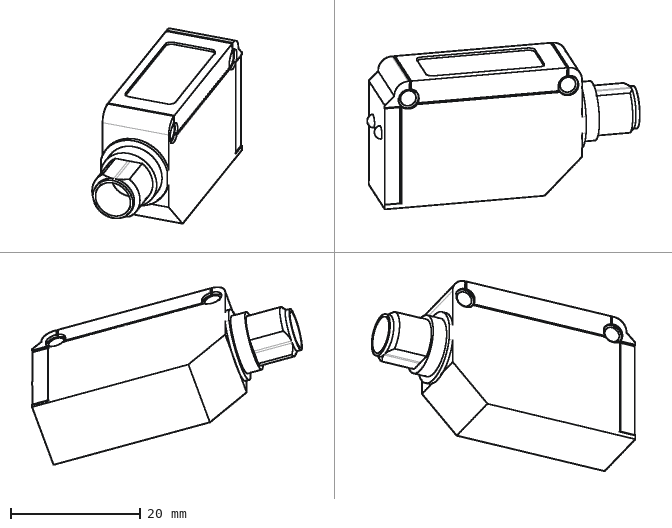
import cadquery as cq
import math

width = 11.0
height = 21.0
body_length = 31.4
corner_radius = 2.2
notch_length = 1.5
notch_rise = 1.45
notch_wall = 0.1
front_slope = 5.97

hole_diameter = 2.5
hole_recess_diameter = 3.25
hole_recess_depth = 0.4
hole_drop = 3.0
front_hole_y = 2.2
rear_hole_y = body_length - 3.83

slot_width = 0.25
slot_depth = 0.65
front_slot_y = 2.25
rear_slot_y = body_length - 4.08
slot_side_depth = 0.13
seam_depth = 0.25
seam_width = 0.2
lid_seam_z = height - 3.85

label_width = 8.25
label_length = 18.85
label_rear_margin = 7.1
label_corner_radius = 1.0
label_depth = 0.38

window_length = 2.7
window_bottom = 0.75
window_top = 16.9
window_recess = 0.15
window_gap_depth = 0.4

connector_z = 11.25
flange_diameter = 11.35
flange_length = 0.65
collar_diameter = 9.3
collar_length = 2.3
barrel_diameter = 8.0
core_diameter = 6.65
tip_length = 0.65
bore_diameter = 5.8
core_strip_width = 0.38

dome_radius = 1.05
dome_height = 0.93
dome_offset = 2.5
dome_z = 11.7

overall_length = 42.05
barrel_length = overall_length - dome_height - body_length - flange_length - collar_length
side_x = width / 2


def box(size_x, size_y, size_z, center):
    return cq.Workplane("XY").box(size_x, size_y, size_z).translate(center)


def cylinder_y(diameter, start_y, length):
    """Cylinder on the connector axis, running from start_y toward -Y."""
    plane = cq.Workplane("XZ", origin=(0, start_y, connector_z))
    return plane.circle(diameter / 2).extrude(length)


def make_housing():
    arc_offset = corner_radius * math.sqrt(0.5)
    arc_z = height - corner_radius
    rear_arc_y = body_length - notch_length - corner_radius
    outline = (
        cq.Workplane("YZ", origin=(-side_x, 0, 0))
        .moveTo(front_slope, 0)
        .lineTo(body_length, 0)
        .lineTo(body_length, arc_z - notch_wall - notch_rise)
        .lineTo(body_length - notch_length, arc_z - notch_wall)
        .lineTo(body_length - notch_length, arc_z)
        .threePointArc((rear_arc_y + arc_offset, arc_z + arc_offset), (rear_arc_y, height))
        .lineTo(corner_radius, height)
        .threePointArc((corner_radius - arc_offset, arc_z + arc_offset), (0, arc_z))
        .lineTo(0, front_slope)
        .close()
    )
    return outline.extrude(width)


def cut_label(body):
    center_y = body_length - label_rear_margin - label_length / 2
    label = box(label_width, label_length, 2 * label_depth, (0, center_y, height))
    return body.cut(label.edges("|Z").fillet(label_corner_radius))


def cut_side_pockets(body, depth, length, tall, center_y, center_z):
    """Cut the same rectangular pocket into both side faces."""
    for x in (-side_x, side_x):
        body = body.cut(box(2 * depth, length, tall, (x, center_y, center_z)))
    return body


def cut_lid_seams(body):
    slot_z = height - hole_drop / 2
    for slot_y in (front_slot_y, rear_slot_y):
        body = body.cut(box(width, slot_width, 2 * slot_depth, (0, slot_y, height)))
        body = cut_side_pockets(body, slot_side_depth, slot_width, hole_drop, slot_y, slot_z)
    seam_length = rear_hole_y - front_hole_y
    seam_y = (rear_hole_y + front_hole_y) / 2
    return cut_side_pockets(body, seam_depth, seam_length, seam_width, seam_y, lid_seam_z)


def cut_window_recesses(body):
    tall = window_top - window_bottom
    center_y = body_length - window_length / 2
    center_z = (window_top + window_bottom) / 2
    body = cut_side_pockets(body, window_recess, window_length, tall, center_y, center_z)
    gap_y = body_length - window_length + seam_width / 2
    body = cut_side_pockets(body, window_gap_depth, seam_width, tall, gap_y, center_z)
    gap_z = window_top - seam_width / 2
    return cut_side_pockets(body, window_gap_depth, window_length, seam_width, center_y, gap_z)


def cut_mounting_holes(body):
    centers = [(y, height - hole_drop) for y in (front_hole_y, rear_hole_y)]
    plane = cq.Workplane("YZ").pushPoints(centers)
    body = body.cut(plane.circle(hole_diameter / 2).extrude(side_x, both=True))
    for x in (-side_x, side_x):
        plane = cq.Workplane("YZ", origin=(x, 0, 0)).pushPoints(centers)
        body = body.cut(plane.circle(hole_recess_diameter / 2).extrude(hole_recess_depth, both=True))
    return body


def make_connector():
    collar_y = -flange_length
    barrel_y = collar_y - collar_length
    flange = cylinder_y(flange_diameter, 0, flange_length)
    flange = flange.intersect(box(width, 2 * flange_length, flange_diameter, (0, 0, connector_z)))
    collar = cylinder_y(collar_diameter, collar_y, collar_length)

    chamfer = (barrel_diameter - core_diameter) / 2
    barrel = cylinder_y(barrel_diameter, barrel_y, barrel_length - tip_length).faces("<Y").chamfer(chamfer)
    across_flats = math.sqrt(core_diameter**2 - core_strip_width**2)
    barrel = barrel.intersect(
        box(barrel_diameter, 2 * barrel_length, across_flats, (0, barrel_y, connector_z))
    )
    core = cylinder_y(core_diameter, barrel_y, barrel_length)
    bore = cylinder_y(bore_diameter, barrel_y, barrel_length)
    return flange.union(collar).union(barrel).union(core).cut(bore)


def make_dome(x):
    sphere = cq.Workplane("XY").sphere(dome_radius)
    return sphere.translate((x, body_length + dome_height - dome_radius, dome_z))


housing = make_housing()
housing = cut_label(housing)
housing = cut_lid_seams(housing)
housing = cut_window_recesses(housing)
housing = cut_mounting_holes(housing)

result = housing.union(make_connector())
for dome_x in (-dome_offset, dome_offset):
    result = result.union(make_dome(dome_x))